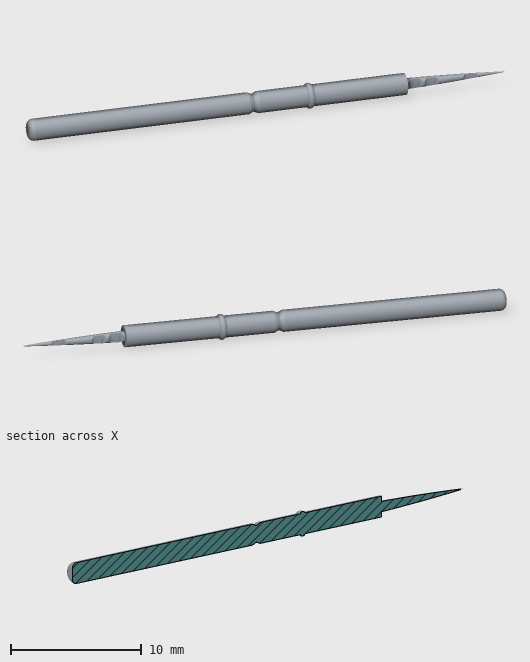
import cadquery as cq

body_length = 30.4
body_radius = 0.85
end_rounding = 0.42

collar_radius = 1.0
collar_front = 7.5
collar_width = 0.5

groove_center = 12.3
groove_width = 0.75
groove_depth = 0.17

needle_length = 8.0
needle_tip_radius = 0.03
needle_middle_radius = 0.275
needle_root_radius = 0.433

needle_flats = [
    (0.05, 1.4, 0.35),
    (1.4, 2.75, 0.35),
    (4.5, 6.0, 0.10),
]
flat_ramp_run = 0.3

axis_start = (0, 0, 0)


def make_shank():
    """Round bar with a rounded rear end, turned about Y."""
    return (
        cq.Workplane("YZ")
        .lineTo(0, body_radius)
        .lineTo(-body_length + end_rounding, body_radius)
        .radiusArc((-body_length, body_radius - end_rounding), -end_rounding)
        .lineTo(-body_length, 0)
        .close()
        .revolve(360, axis_start, (1, 0, 0))
    )


def make_collar():
    """Raised ring with a rounded crown that rises from the shank surface."""
    collar_rear = collar_front + collar_width
    collar_middle = collar_front + collar_width / 2
    return (
        cq.Workplane("YZ")
        .moveTo(-collar_front, 0)
        .lineTo(-collar_front, body_radius)
        .threePointArc((-collar_middle, collar_radius), (-collar_rear, body_radius))
        .lineTo(-collar_rear, 0)
        .close()
        .revolve(360, axis_start, (1, 0, 0))
    )


def make_groove_cutter():
    """V-shaped ring that cuts the groove around the shank."""
    groove_front = -groove_center + groove_width / 2
    groove_rear = -groove_center - groove_width / 2
    return (
        cq.Workplane("YZ")
        .moveTo(groove_rear, body_radius)
        .lineTo(-groove_center, body_radius - groove_depth)
        .lineTo(groove_front, body_radius)
        .lineTo(groove_front, collar_radius)
        .lineTo(groove_rear, collar_radius)
        .close()
        .revolve(360, axis_start, (1, 0, 0))
    )


def make_needle():
    """Slender bowed cone, narrowing from the shank to a blunt tip."""
    return (
        cq.Workplane("YZ")
        .lineTo(0, needle_root_radius)
        .threePointArc((needle_length / 2, needle_middle_radius), (needle_length, needle_tip_radius))
        .lineTo(needle_length, 0)
        .close()
        .revolve(360, axis_start, (1, 0, 0))
    )


def make_flat_cutter(rear, front, web):
    """Ramped cutter for one flat on the needle's +X side."""
    return (
        cq.Workplane("XY")
        .moveTo(needle_root_radius, rear)
        .lineTo(web / 2, rear + flat_ramp_run)
        .lineTo(web / 2, front - flat_ramp_run)
        .lineTo(needle_root_radius, front)
        .close()
        .extrude(body_radius, both=True)
    )


def cut_needle_flats(needle):
    """Cut each pair of flats, one on the +X side and its mirror image on the -X side."""
    for rear, front, web in needle_flats:
        cutter = make_flat_cutter(rear, front, web)
        needle = needle.cut(cutter).cut(cutter.mirror("YZ"))
    return needle


shank = make_shank().union(make_collar()).cut(make_groove_cutter())
result = shank.union(cut_needle_flats(make_needle()))